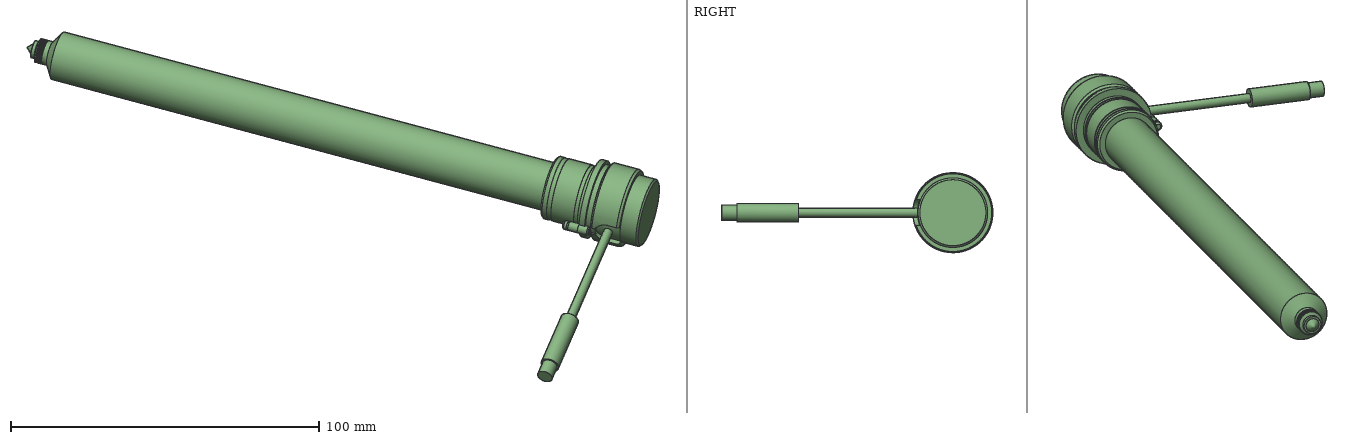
import cadquery as cq


TIP_CONE_LENGTH = 2.2
TIP_CONE_RADIUS = 2.2
TIP_COLLAR_RADIUS = 2.9
TIP_COLLAR_END = 3.4
TIP_RADIUS = 4.0
TIP_BEVEL_LENGTH = 0.5
TIP_GROOVE_COUNT = 3
TIP_GROOVE_PITCH = 0.8
TIP_GROOVE_WIDTH = 0.4
TIP_GROOVE_DEPTH = 0.2
FIRST_TIP_GROOVE = 4.3
SHOULDER_START = 8.0
SHOULDER_END = 10.6
TUBE_RADIUS = 8.0
SOCKET_DEPTH = 5.0

SLEEVE_START = 179.4
SLEEVE_RADIUS = 10.5
SLEEVE_BEVEL = 0.6
SLEEVE_GROOVE_DEPTH = 0.15
SLEEVE_GROOVES = ((181.5, 183.0), (190.8, 192.1))
FLANGE_START = 193.5
FLANGE_END = 195.4
NECK_RADIUS = 11.8
COLLAR_START = 197.2
COLLAR_RADIUS = 13.0
COLLAR_BEVEL = 0.7
COLLAR_END = 207.0
COLLAR_END_BEVEL_LENGTH = 0.9
COLLAR_END_BEVEL_DEPTH = 0.4

CAP_RADIUS = 11.3
CAP_BEVEL = 0.6
TOTAL_LENGTH = 213.0

CABLE_X = 203.0
CABLE_RADIUS = 1.5
CABLE_INNER_END = 8.0
PLUG_START = 50.0
PLUG_BODY_END = 70.0
PLUG_RADIUS = 3.0
PLUG_NOSE_RADIUS = 2.5
CABLE_END = 75.0

RECESS_RADIUS = 4.2
RECESS_FLOOR_RADIUS = 11.5

PIN_RADIUS = 1.5
PIN_OFFSET = 13.3
PIN_START = 188.2
PIN_BEVEL = 0.6
PIN_GROOVE_START = 189.7
PIN_GROOVE_WIDTH = 0.5
PIN_GROOVE_DEPTH = 0.15
LUG_END = 197.0
LUG_BEVEL = 0.4
SLOT_FLOOR = 12.4


def revolve_about_x(outline):
    """Turn (x, radius) points, starting and ending on the axis, into a solid about X."""
    profile = cq.Workplane("XZ").polyline(outline).close()
    return profile.revolve(360, (0, 0), (1, 0))


def groove_outline(start, end, radius, depth):
    """Points of one square groove in a cylinder."""
    return [(start, radius), (start, radius - depth), (end, radius - depth), (end, radius)]


def rod_along_x(radius, start, end):
    """Cylinder on the pin's axis between two X positions."""
    plane = cq.Workplane("YZ", origin=(start, -PIN_OFFSET, 0))
    return plane.circle(radius).extrude(end - start)


def make_probe():
    outline = [
        (0, 0),
        (TIP_CONE_LENGTH, TIP_CONE_RADIUS),
        (TIP_CONE_LENGTH, TIP_COLLAR_RADIUS),
        (TIP_COLLAR_END, TIP_COLLAR_RADIUS),
        (TIP_COLLAR_END + TIP_BEVEL_LENGTH, TIP_RADIUS),
    ]
    for index in range(TIP_GROOVE_COUNT):
        start = FIRST_TIP_GROOVE + index * TIP_GROOVE_PITCH
        outline += groove_outline(start, start + TIP_GROOVE_WIDTH, TIP_RADIUS, TIP_GROOVE_DEPTH)
    outline += [(SHOULDER_START, TIP_RADIUS), (SHOULDER_END, TUBE_RADIUS)]
    tube_end = SLEEVE_START + SOCKET_DEPTH
    outline += [(tube_end, TUBE_RADIUS), (tube_end, 0)]
    return revolve_about_x(outline)


def make_housing_blank():
    outline = [
        (SLEEVE_START, 0),
        (SLEEVE_START, SLEEVE_RADIUS - SLEEVE_BEVEL),
        (SLEEVE_START + SLEEVE_BEVEL, SLEEVE_RADIUS),
    ]
    for start, end in SLEEVE_GROOVES:
        outline += groove_outline(start, end, SLEEVE_RADIUS, SLEEVE_GROOVE_DEPTH)
    outline += [
        (FLANGE_START, SLEEVE_RADIUS),
        (FLANGE_START, COLLAR_RADIUS),
        (FLANGE_END, COLLAR_RADIUS),
        (FLANGE_END, NECK_RADIUS),
        (COLLAR_START, NECK_RADIUS),
        (COLLAR_START, COLLAR_RADIUS - COLLAR_BEVEL),
        (COLLAR_START + COLLAR_BEVEL, COLLAR_RADIUS),
        (COLLAR_END - COLLAR_END_BEVEL_LENGTH, COLLAR_RADIUS),
        (COLLAR_END, COLLAR_RADIUS - COLLAR_END_BEVEL_DEPTH),
        (COLLAR_END, 0),
    ]
    return revolve_about_x(outline)


def make_lug():
    """Rounded lug on the flange, in line with the pin."""
    return rod_along_x(PIN_RADIUS, FLANGE_START, LUG_END).faces(">X").chamfer(LUG_BEVEL)


def make_recess():
    """U-shaped recess around the cable, with a floor curved about the X axis."""
    entry = cq.Workplane("XZ", origin=(CABLE_X, 0, 0))
    recess = entry.circle(RECESS_RADIUS).extrude(COLLAR_RADIUS)
    length = COLLAR_END - CABLE_X
    opening = entry.center(length / 2, 0).rect(length, 2 * RECESS_RADIUS).extrude(COLLAR_RADIUS)
    core = cq.Workplane("YZ").circle(RECESS_FLOOR_RADIUS).extrude(TOTAL_LENGTH)
    return recess.union(opening).cut(core)


def make_slot():
    """Flat-bottomed slot from the front of the collar to the cable recess."""
    length = CABLE_X - COLLAR_START
    plane = cq.Workplane("XZ", origin=(COLLAR_START + length / 2, -SLOT_FLOOR, 0))
    return plane.rect(length, 2 * PIN_RADIUS).extrude(COLLAR_RADIUS - SLOT_FLOOR)


def make_housing(probe, cable):
    housing = make_housing_blank().cut(make_recess()).cut(make_slot())
    return housing.union(make_lug()).cut(probe).cut(cable)


def make_cap():
    return revolve_about_x([
        (COLLAR_END, 0),
        (COLLAR_END, CAP_RADIUS),
        (TOTAL_LENGTH - CAP_BEVEL, CAP_RADIUS),
        (TOTAL_LENGTH, CAP_RADIUS - CAP_BEVEL),
        (TOTAL_LENGTH, 0),
    ])


def make_cable():
    outline = [
        (0, CABLE_INNER_END),
        (CABLE_RADIUS, CABLE_INNER_END),
        (CABLE_RADIUS, PLUG_START),
        (PLUG_RADIUS, PLUG_START),
        (PLUG_RADIUS, PLUG_BODY_END),
        (PLUG_NOSE_RADIUS, PLUG_BODY_END),
        (PLUG_NOSE_RADIUS, CABLE_END),
        (0, CABLE_END),
    ]
    points = [(radius, -distance) for radius, distance in outline]
    profile = cq.Workplane("XY", origin=(CABLE_X, 0, 0)).polyline(points).close()
    return profile.revolve(360, (0, 0), (0, 1))


def make_pin():
    """Pin with a bevelled front end and a fine ring groove behind it."""
    pin = rod_along_x(PIN_RADIUS, PIN_START, FLANGE_START).faces("<X").chamfer(PIN_BEVEL)
    groove_end = PIN_GROOVE_START + PIN_GROOVE_WIDTH
    ring = rod_along_x(PIN_RADIUS, PIN_GROOVE_START, groove_end)
    ring_core = rod_along_x(PIN_RADIUS - PIN_GROOVE_DEPTH, PIN_GROOVE_START, groove_end)
    return pin.cut(ring.cut(ring_core))


probe = make_probe()
cable = make_cable()
housing = make_housing(probe, cable)
cap = make_cap()
pin = make_pin()

result = cq.Compound.makeCompound([
    probe.val(),
    housing.val(),
    cap.val(),
    cable.val(),
    pin.val(),
])